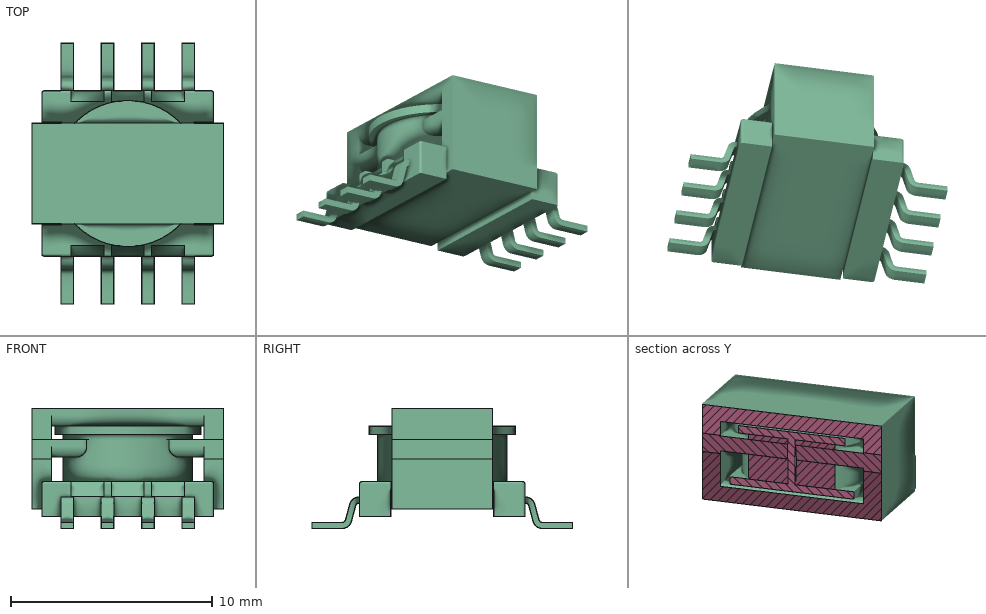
import cadquery as cq
import math

core_length = 9.5
core_width = 5.0
core_bottom = 0.97
core_top = 5.97
parting_height = (core_bottom + core_top) / 2
window_length = 7.55
web_thickness = 0.88
web_edge_radius = 0.5
post_diameter = 3.5
crossbar_height = 0.96
crossbar_top = parting_height + crossbar_height

base_length = 8.53
base_width = 8.22
base_bottom = 0.6
base_top = 2.35
base_edge_radius = 0.13
core_slot_width = 5.1
waist_length = 6.6
flange_thickness = 0.41
flange_diameter = 7.25
flange_top = 5.09
flange_bottom = flange_top - flange_thickness
bore_diameter = 3.7
tube_diameter = bore_diameter + 2 * flange_thickness

notch_length = 1.63
notch_depth = 0.55
notch_height = 0.74

pin_count = 4
pin_pitch = 2.001
pin_width = 0.63
pin_thickness = 0.31
pin_span = 12.95
pin_exit_height = 1.42
pin_bend_radius = 0.35
pin_bend_angle = math.radians(75)

winding_diameter = 6.45


def box_between(length, width, bottom, top):
    """Box centred on the Z axis between two heights."""
    return cq.Workplane("XY", origin=(0, 0, bottom)).rect(length, width).extrude(top - bottom)


def cylinder_between(diameter, bottom, top):
    """Cylinder on the Z axis between two heights."""
    return cq.Workplane("XY", origin=(0, 0, bottom)).circle(diameter / 2).extrude(top - bottom)


def bridge(bottom, top):
    """Web on two legs, open downward, with rounded lower web edges between the legs."""
    web_bottom = top - web_thickness
    body = box_between(core_length, core_width, bottom, top)
    window = box_between(window_length, core_width, bottom, web_bottom)
    body = body.cut(window)
    web_underside = body.faces("|Z").faces("<Z[1]")
    return web_underside.edges("|X").fillet(web_edge_radius)


def add_post(body):
    """Round centre post from the upper web down to the parting plane."""
    return body.union(cylinder_between(post_diameter, parting_height, core_top - web_thickness))


def make_upper_core():
    """Upper E with outer legs shortened to rest on the crossbar."""
    return add_post(bridge(crossbar_top, core_top))


def make_crossbar():
    tube_hole = cylinder_between(tube_diameter, parting_height, crossbar_top)
    return bridge(parting_height, crossbar_top).cut(tube_hole)


def make_lower_core():
    """Full-height E, turned over so that its web lies at the bottom."""
    half = add_post(bridge(parting_height, core_top))
    return half.mirror("XY", (0, 0, parting_height))


def make_base():
    base = box_between(base_length, base_width, base_bottom, base_top)
    base = base.edges("|Z or >Z").fillet(base_edge_radius)
    plate_bottom = base_top - flange_thickness
    base = base.cut(box_between(base_length, core_slot_width, base_bottom, plate_bottom))
    recesses = box_between(base_length, core_slot_width, base_bottom, base_top)
    recesses = recesses.cut(box_between(waist_length, core_slot_width, base_bottom, base_top))
    return base.cut(recesses)


def make_notch(x_center):
    """Wedge removed from the upper edge of the +Y pin block."""
    outer_y = base_width / 2
    return (
        cq.Workplane("YZ", origin=(x_center - notch_length / 2, 0, 0))
        .moveTo(outer_y - notch_depth, base_top)
        .lineTo(outer_y, base_top)
        .lineTo(outer_y, base_top - notch_height)
        .close()
        .extrude(notch_length)
    )


def make_pin(x_center):
    """Pin on the +Y side: bend down, steep straight leg, bend out to the foot."""
    start_y = base_width / 2
    foot_z = pin_thickness / 2
    sine = math.sin(pin_bend_angle)
    cosine = math.cos(pin_bend_angle)
    half_sine = math.sin(pin_bend_angle / 2)
    half_cosine = math.cos(pin_bend_angle / 2)
    bend_run = pin_bend_radius * sine
    bend_drop = pin_bend_radius * (1 - cosine)
    middle_run = pin_bend_radius * half_sine
    middle_drop = pin_bend_radius * (1 - half_cosine)
    leg_drop = pin_exit_height - foot_z - 2 * bend_drop
    leg_run = leg_drop / math.tan(pin_bend_angle)
    foot_y = start_y + 2 * bend_run + leg_run
    center_line = (
        cq.Workplane("YZ", origin=(x_center, 0, 0))
        .moveTo(start_y, pin_exit_height)
        .threePointArc(
            (start_y + middle_run, pin_exit_height - middle_drop),
            (start_y + bend_run, pin_exit_height - bend_drop),
        )
        .lineTo(foot_y - bend_run, foot_z + bend_drop)
        .threePointArc((foot_y - middle_run, foot_z + middle_drop), (foot_y, foot_z))
        .lineTo(pin_span / 2, foot_z)
    )
    section = cq.Workplane("XZ", origin=(x_center, start_y, pin_exit_height))
    return section.rect(pin_width, pin_thickness).sweep(center_line)


def make_bobbin():
    bobbin = make_base()
    for index in range(pin_count - 1):
        notch = make_notch((index - (pin_count - 2) / 2) * pin_pitch)
        bobbin = bobbin.cut(notch).cut(notch.mirror("XZ"))
    for index in range(pin_count):
        pin = make_pin((index - (pin_count - 1) / 2) * pin_pitch)
        bobbin = bobbin.union(pin).union(pin.mirror("XZ"))
    bobbin = bobbin.union(cylinder_between(tube_diameter, base_top, flange_top))
    bobbin = bobbin.union(cylinder_between(flange_diameter, flange_bottom, flange_top))
    return bobbin.cut(cylinder_between(bore_diameter, base_bottom, flange_top))


def make_winding():
    """Ring around the tube, with a passage that fits the crossbar."""
    ring = cylinder_between(winding_diameter, base_top, flange_bottom)
    ring = ring.cut(cylinder_between(tube_diameter, base_top, flange_bottom))
    return ring.cut(make_crossbar())


upper_core = make_upper_core()
crossbar = make_crossbar()
lower_core = make_lower_core()
bobbin = make_bobbin()
winding = make_winding()

result = cq.Compound.makeCompound(
    [upper_core.val(), crossbar.val(), lower_core.val(), bobbin.val(), winding.val()]
)